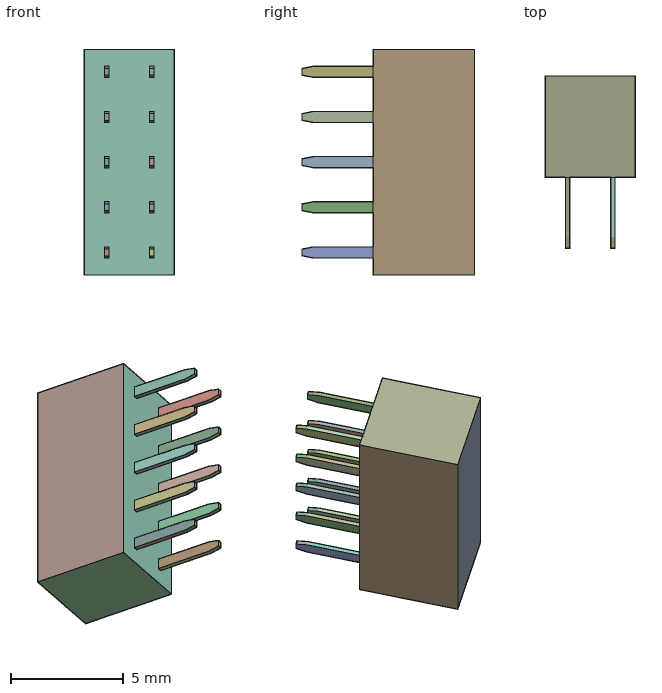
import cadquery as cq

pitch = 2.0
columns = 2
rows = 5
body_depth = 4.5

pin_length = 3.15
pin_thickness = 0.2
pin_height = 0.5
tip_length = 0.5
tip_height = 0.3

body_width = columns * pitch
body_height = rows * pitch


def make_body():
    """Housing block, centred in X and Z, with its pin face on Y = 0."""
    return cq.Workplane("XY").box(
        body_width, body_depth, body_height, centered=(True, False, True)
    )


def make_pin(x, z):
    """Flat pin pointing to -Y, its top and bottom edges narrowing at the tip."""
    shoulder_y = tip_length - pin_length
    profile = [
        (0, -pin_height / 2),
        (shoulder_y, -pin_height / 2),
        (-pin_length, -tip_height / 2),
        (-pin_length, tip_height / 2),
        (shoulder_y, pin_height / 2),
        (0, pin_height / 2),
    ]
    pin = cq.Workplane("YZ").polyline(profile).close().extrude(pin_thickness / 2, both=True)
    return pin.translate((x, 0, z))


result = make_body()
for column in range(columns):
    for row in range(rows):
        pin_x = (column - (columns - 1) / 2) * pitch
        pin_z = (row - (rows - 1) / 2) * pitch
        result = result.union(make_pin(pin_x, pin_z))